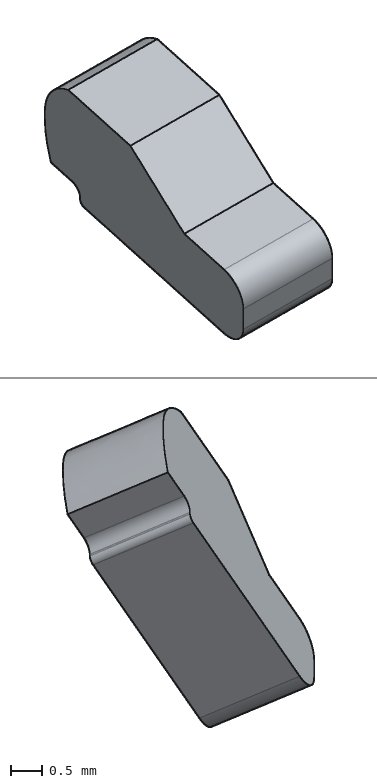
import cadquery as cq
import math

length = 5.12
width = 1.83
height = 2.38

nose_height = 1.34
roof_front = 0.61
nose_base = 0.16
nose_base_lean = 18
nose_roof_lean = 62

roof_rear = 2.21
deck_front = 3.6
deck_height = 1.47
rear_radius = 0.5

step_length = 0.91
step_height = 0.35
step_inner_radius = 0.2
step_outer_radius = 0.11


def lean_direction(degrees):
    """Upward unit direction in the profile plane, leaning back toward +X by the given angle."""
    angle = math.radians(degrees)
    return math.sin(angle), math.cos(angle)


def side_profile():
    """Closed outline in the XZ plane, starting at the foot of the nose."""
    return (
        cq.Workplane("XZ")
        .moveTo(nose_base, step_height)
        .spline(
            [(0, nose_height), (roof_front, height)],
            tangents=[lean_direction(-nose_base_lean), lean_direction(0), lean_direction(nose_roof_lean)],
            includeCurrent=True,
        )
        .lineTo(roof_rear, height)
        .lineTo(deck_front, deck_height)
        .lineTo(length - rear_radius, deck_height)
        .radiusArc((length, deck_height - rear_radius), rear_radius)
        .lineTo(length, rear_radius)
        .radiusArc((length - rear_radius, 0), rear_radius)
        .lineTo(step_length + step_outer_radius, 0)
        .radiusArc((step_length, step_outer_radius), step_outer_radius)
        .lineTo(step_length, step_height - step_inner_radius)
        .radiusArc((step_length - step_inner_radius, step_height), -step_inner_radius)
        .close()
    )


result = side_profile().extrude(-width)